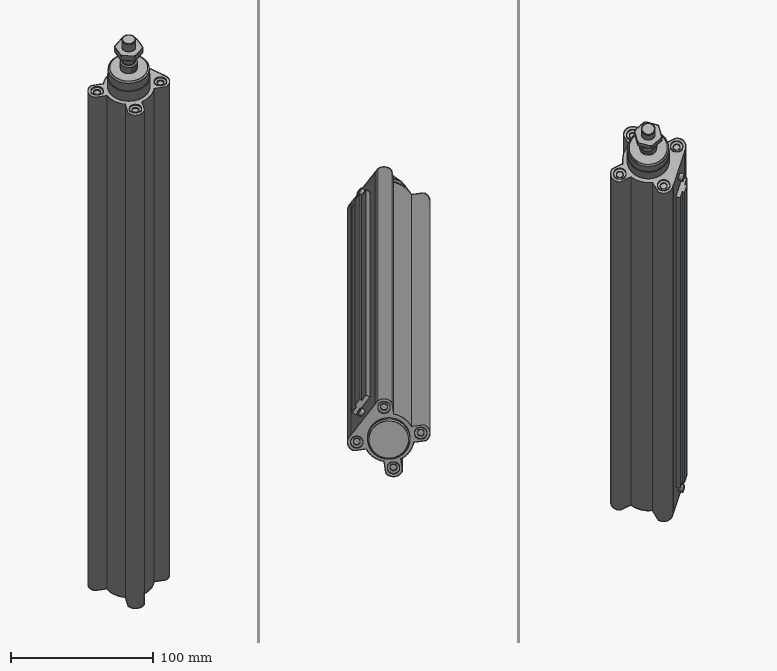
import cadquery as cq
import math

TOTAL_HEIGHT = 545.0

BODY_BOTTOM = 4.0
BODY_TOP = 498.0
BODY_HEIGHT = BODY_TOP - BODY_BOTTOM
SIDE = 45.0
HALF_SIDE = SIDE / 2
CORE_RADIUS = 18.0
CORNER_RADIUS = 6.5
SHOULDER_X = 14.0
SHOULDER_RADIUS = 2.0

COLLAR_DIAMETER = 30.0
COLLAR_STEP = 508.0
COLLAR_TOP = 517.0
NECK_DIAMETER = 29.0
COLLAR_CHAMFER = 1.0

SOCKET_OFFSET = HALF_SIDE - CORNER_RADIUS
SOCKET_DIAMETER = 8.5
SOCKET_DEPTH = 1.0
KEY_DIAMETER = 5.0
KEY_DEPTH = 1.0

RAIL_BOTTOM = 32.5
RAIL_TOP = 470.0
RAIL_WIDTH = 16.5
RAIL_RISE = 3.0
RIDGE_WIDTH = 6.0
RIDGE_RISE = 5.0
PLUG_DIAMETER = 5.4
PLUG_RISE = 3.0
PLUG_INSET = 13.0

ROD_DIAMETER = 12.0
ROD_BOTTOM = BODY_TOP
ROD_SHOULDER = 524.0
ROD_CHAMFER = 1.0
UNDERCUT_DIAMETER = 8.5
THREAD_BOTTOM = 528.0
THREAD_DIAMETER = 10.0
THREAD_CHAMFER = 0.5
FLAT_WIDTH = 10.0
FLAT_TOP = 521.5

NUT_ACROSS_FLATS = 17.5
NUT_ACROSS_CORNERS = NUT_ACROSS_FLATS / math.cos(math.pi / 6)
NUT_BOTTOM = 532.5
NUT_HEIGHT = 5.0
NUT_CHAMFER = 0.5


def cylinder(diameter, bottom, top):
    """Upright cylinder on the part's axis."""
    return cq.Workplane("XY", origin=(0, 0, bottom)).circle(diameter / 2).extrude(top - bottom)


def side_block(width, rise, bottom, top):
    """Block from the axis out to a given rise above the flat +Y face."""
    block = cq.Workplane("XY", origin=(0, 0, bottom))
    return block.box(width, HALF_SIDE + rise, top - bottom, centered=(True, False, False))


def make_rib():
    """Corner rib in the +X +Y quadrant, with rounded corner and shoulders."""
    flank_end = HALF_SIDE - SHOULDER_X
    outline = [
        (0, 0),
        (flank_end, 0),
        (HALF_SIDE, SHOULDER_X),
        (HALF_SIDE, HALF_SIDE),
        (SHOULDER_X, HALF_SIDE),
        (0, flank_end),
    ]
    rib = cq.Workplane("XY", origin=(0, 0, BODY_BOTTOM)).polyline(outline).close().extrude(BODY_HEIGHT)
    middle = BODY_BOTTOM + BODY_HEIGHT / 2
    for x, y, radius in [
        (HALF_SIDE, HALF_SIDE, CORNER_RADIUS),
        (HALF_SIDE, SHOULDER_X, SHOULDER_RADIUS),
        (SHOULDER_X, HALF_SIDE, SHOULDER_RADIUS),
    ]:
        rib = rib.edges(cq.NearestToPointSelector((x, y, middle))).fillet(radius)
    return rib


def make_barrel():
    barrel = cylinder(2 * CORE_RADIUS, BODY_BOTTOM, BODY_TOP)
    rib = make_rib()
    for quarter in range(4):
        barrel = barrel.union(rib.rotate((0, 0, 0), (0, 0, 1), 90 * quarter))
    return barrel.union(side_block(2 * SHOULDER_X, 0, BODY_BOTTOM, BODY_TOP))


def make_rail():
    base = side_block(RAIL_WIDTH, RAIL_RISE, RAIL_BOTTOM, RAIL_TOP)
    return base.union(side_block(RIDGE_WIDTH, RIDGE_RISE, RAIL_BOTTOM, RAIL_TOP))


def make_plug(level):
    plug = cq.Workplane("XZ", origin=(0, 0, level)).circle(PLUG_DIAMETER / 2)
    return plug.extrude(-(HALF_SIDE + PLUG_RISE))


def make_collars():
    lower = cylinder(COLLAR_DIAMETER, 0, BODY_BOTTOM).faces("<Z").chamfer(COLLAR_CHAMFER)
    upper = cylinder(COLLAR_DIAMETER, BODY_TOP, COLLAR_STEP)
    neck = cylinder(NECK_DIAMETER, COLLAR_STEP, COLLAR_TOP).faces(">Z").chamfer(COLLAR_CHAMFER)
    return [lower, upper, neck]


def cut_sockets(housing):
    """Stepped screw socket in both ends of every rib."""
    for level, inward in [(BODY_BOTTOM, 1), (BODY_TOP, -1)]:
        for diameter, depth in [(SOCKET_DIAMETER, SOCKET_DEPTH), (KEY_DIAMETER, SOCKET_DEPTH + KEY_DEPTH)]:
            sockets = (
                cq.Workplane("XY", origin=(0, 0, level))
                .rect(2 * SOCKET_OFFSET, 2 * SOCKET_OFFSET, forConstruction=True)
                .vertices()
                .circle(diameter / 2)
                .extrude(inward * depth)
            )
            housing = housing.cut(sockets)
    return housing


def make_housing():
    housing = make_barrel().union(make_rail())
    for level in (BODY_BOTTOM + PLUG_INSET, BODY_TOP - PLUG_INSET):
        housing = housing.union(make_plug(level))
    for collar in make_collars():
        housing = housing.union(collar)
    housing = cut_sockets(housing)
    return housing.cut(cylinder(ROD_DIAMETER, ROD_BOTTOM, COLLAR_TOP))


def make_rod():
    rod = cylinder(ROD_DIAMETER, ROD_BOTTOM, ROD_SHOULDER).faces(">Z").chamfer(ROD_CHAMFER)
    flat_zone = cq.Workplane("XY", origin=(0, 0, COLLAR_TOP))
    rod = rod.cut(
        flat_zone.rect(2 * ROD_DIAMETER, 2 * ROD_DIAMETER)
        .rect(FLAT_WIDTH, 2 * ROD_DIAMETER)
        .extrude(FLAT_TOP - COLLAR_TOP)
    )
    undercut = cylinder(UNDERCUT_DIAMETER, ROD_SHOULDER, THREAD_BOTTOM)
    thread = cylinder(THREAD_DIAMETER, THREAD_BOTTOM, TOTAL_HEIGHT).faces(">Z").chamfer(THREAD_CHAMFER)
    return rod.union(undercut).union(thread)


def make_nut():
    """Hexagon with its corners on the Y axis and chamfered end faces."""
    nut_top = NUT_BOTTOM + NUT_HEIGHT
    hexagon = (
        cq.Workplane("XY", origin=(0, 0, NUT_BOTTOM))
        .polygon(6, NUT_ACROSS_CORNERS)
        .extrude(NUT_HEIGHT)
        .rotate((0, 0, 0), (0, 0, 1), 30)
    )
    blank = cylinder(NUT_ACROSS_CORNERS, NUT_BOTTOM, nut_top).faces("<Z or >Z").chamfer(NUT_CHAMFER)
    return hexagon.intersect(blank).cut(cylinder(THREAD_DIAMETER, NUT_BOTTOM, nut_top))


housing = make_housing()
rod = make_rod()
nut = make_nut()

result = cq.Compound.makeCompound([housing.val(), rod.val(), nut.val()])